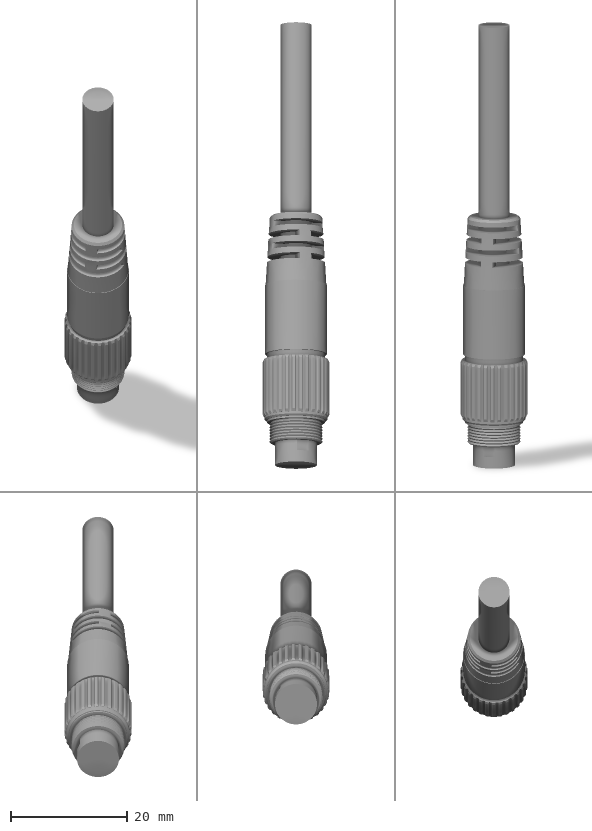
import cadquery as cq
import math

TOTAL_LENGTH = 76.8
PLUG_TOP = 3.85
THREAD_TOP = 7.45
FLANGE_TOP = 7.75
KNURL_BOTTOM = 8.45
NUT_TOP = 18.35
BODY_BOTTOM = 19.35
BODY_TOP = 31.4
BOOT_TOP = 43.5

CABLE_RADIUS = 2.7
PLUG_RADIUS = 3.6
THREAD_RADIUS = 4.5
FLANGE_RADIUS = 5.0
COLLAR_RADIUS = 5.45
NUT_RADIUS = 5.75
NECK_RADIUS = 5.0
BODY_RADIUS = 5.3
BOOT_BOTTOM_RADIUS = 5.2
BOOT_TOP_RADIUS = 4.5
BOOT_CHAMFER = 0.4
NUT_CHAMFER_HEIGHT = 0.45
NUT_CHAMFER_DEPTH = 0.2
COLLAR_CHAMFER = 0.3

KEYWAY_WIDTH = 2.1
KEYWAY_BOTTOM = 2.0
KEYWAY_FLOOR = 3.4

THREAD_PITCH = 0.5
THREAD_DEPTH = 0.2
THREAD_CREST_WIDTH = 0.1

FLUTE_COUNT = 30
FLUTE_DEPTH = 0.3
FLUTE_WIDTH = 0.8
FLUTE_FLOOR_WIDTH = 0.4

SLOT_COUNT = 4
SLOT_PITCH = 2.0
SLOT_HEIGHT = 1.0
FIRST_SLOT_CENTRE = 41.8
WEB_WIDTH = 2.1


def cylinder(radius, bottom, top):
    return cq.Workplane("XY").workplane(offset=bottom).circle(radius).extrude(top - bottom)


def make_plug():
    plug = cylinder(PLUG_RADIUS, 0, PLUG_TOP)
    height = PLUG_TOP - KEYWAY_BOTTOM
    for side in (-1, 1):
        keyway = cq.Workplane("XY").box(PLUG_RADIUS, KEYWAY_WIDTH, height, centered=(True, True, False))
        plug = plug.cut(keyway.translate((side * (KEYWAY_FLOOR + PLUG_RADIUS / 2), 0, KEYWAY_BOTTOM)))
    return plug


def make_thread():
    root_radius = THREAD_RADIUS - THREAD_DEPTH
    thread_count = math.floor((THREAD_TOP - PLUG_TOP) / THREAD_PITCH)
    outline = cq.Workplane("XZ").moveTo(0, PLUG_TOP).lineTo(root_radius, PLUG_TOP)
    for index in range(thread_count):
        root = PLUG_TOP + index * THREAD_PITCH
        crest = root + THREAD_PITCH / 2
        outline = outline.lineTo(THREAD_RADIUS, crest - THREAD_CREST_WIDTH / 2)
        outline = outline.lineTo(THREAD_RADIUS, crest + THREAD_CREST_WIDTH / 2)
        outline = outline.lineTo(root_radius, root + THREAD_PITCH)
    outline = outline.lineTo(root_radius, THREAD_TOP).lineTo(0, THREAD_TOP).close()
    return outline.revolve(360, (0, 0, 0), (0, 1, 0))


def make_nut():
    knurl = cylinder(NUT_RADIUS, KNURL_BOTTOM, NUT_TOP)
    knurl = knurl.faces("|Z").chamfer(NUT_CHAMFER_HEIGHT, NUT_CHAMFER_DEPTH)
    flute = (
        cq.Workplane("XY")
        .workplane(offset=KNURL_BOTTOM)
        .moveTo(NUT_RADIUS - FLUTE_DEPTH, -FLUTE_FLOOR_WIDTH / 2)
        .lineTo(NUT_RADIUS - FLUTE_DEPTH, FLUTE_FLOOR_WIDTH / 2)
        .lineTo(NUT_RADIUS, FLUTE_WIDTH / 2)
        .lineTo(NUT_RADIUS + FLUTE_DEPTH, FLUTE_WIDTH / 2)
        .lineTo(NUT_RADIUS + FLUTE_DEPTH, -FLUTE_WIDTH / 2)
        .lineTo(NUT_RADIUS, -FLUTE_WIDTH / 2)
        .close()
        .extrude(NUT_TOP - KNURL_BOTTOM)
    )
    flute_angle = 360 / FLUTE_COUNT
    for index in range(FLUTE_COUNT):
        knurl = knurl.cut(flute.rotate((0, 0, 0), (0, 0, 1), (index + 0.5) * flute_angle))
    collar = cylinder(COLLAR_RADIUS, FLANGE_TOP, KNURL_BOTTOM).faces("<Z").chamfer(COLLAR_CHAMFER)
    flange = cylinder(FLANGE_RADIUS, THREAD_TOP, FLANGE_TOP)
    return knurl.union(collar).union(flange)


def make_body():
    neck = cylinder(NECK_RADIUS, NUT_TOP, BODY_BOTTOM)
    return neck.union(cylinder(BODY_RADIUS, BODY_BOTTOM, BODY_TOP))


def make_slot(centre, crosswise):
    bottom = centre - SLOT_HEIGHT / 2
    top = centre + SLOT_HEIGHT / 2
    ring = cylinder(BODY_RADIUS, bottom, top)
    web = cq.Workplane("XY").box(WEB_WIDTH, 2 * BODY_RADIUS, SLOT_HEIGHT).translate((0, 0, centre))
    if crosswise:
        web = web.rotate((0, 0, 0), (0, 0, 1), 90)
    core = cylinder(CABLE_RADIUS, bottom, top)
    return ring.cut(web).cut(core)


def make_boot():
    boot = (
        cq.Workplane("XZ")
        .moveTo(0, BODY_TOP)
        .lineTo(BOOT_BOTTOM_RADIUS, BODY_TOP)
        .lineTo(BOOT_TOP_RADIUS, BOOT_TOP - BOOT_CHAMFER)
        .lineTo(BOOT_TOP_RADIUS - BOOT_CHAMFER, BOOT_TOP)
        .lineTo(0, BOOT_TOP)
        .close()
        .revolve(360, (0, 0, 0), (0, 1, 0))
    )
    for index in range(SLOT_COUNT):
        boot = boot.cut(make_slot(FIRST_SLOT_CENTRE - index * SLOT_PITCH, index % 2 == 1))
    return boot


cable = cylinder(CABLE_RADIUS, BOOT_TOP, TOTAL_LENGTH)
result = (
    make_plug()
    .union(make_thread())
    .union(make_nut())
    .union(make_body())
    .union(make_boot())
    .union(cable)
)